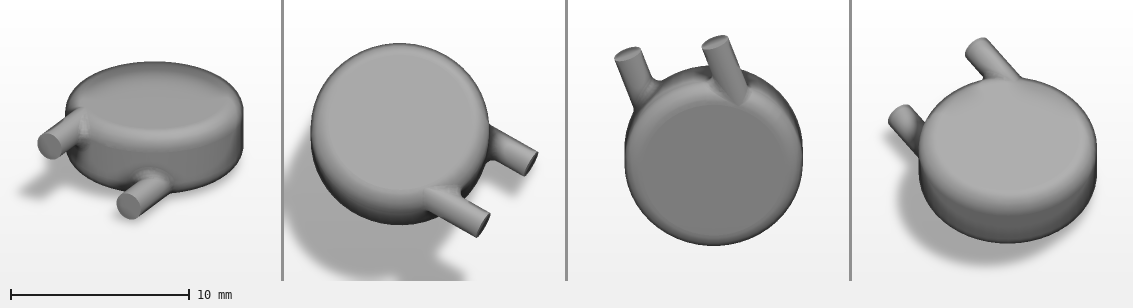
import cadquery as cq

body_diameter = 10.0
body_height = 4.0
body_edge_radius = 1.0

lead_diameter = 1.6
lead_offset = 2.6
lead_end = 7.0
root_fillet_radius = 0.5

face_clearance = 0.01

lead_height_in_body = lead_diameter / 2 + face_clearance


def make_body():
    """Upright disc with rounded top and bottom rims."""
    disc = cq.Workplane("XY").circle(body_diameter / 2).extrude(body_height)
    return disc.edges("%CIRCLE").fillet(body_edge_radius)


def make_lead(x, z):
    """Round lead running from inside the disc out to its free end."""
    return cq.Workplane("XZ").center(x, z).circle(lead_diameter / 2).extrude(lead_end)


def add_leads(body):
    """Join one lead level with the top face and one level with the bottom face."""
    high_lead = make_lead(-lead_offset, body_height - lead_height_in_body)
    low_lead = make_lead(lead_offset, lead_height_in_body)
    return body.union(high_lead).union(low_lead)


def round_lead_roots(part):
    """Fillet the curves where the leads meet the disc, the part's only spline edges."""
    return part.edges("%BSPLINE").fillet(root_fillet_radius)


result = round_lead_roots(add_leads(make_body()))